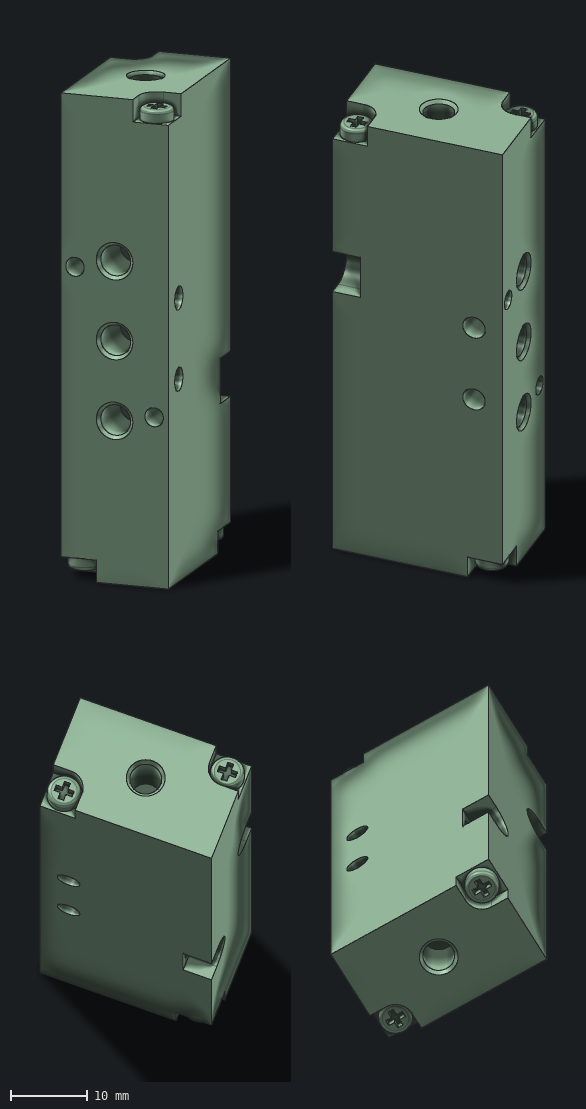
import cadquery as cq

WIDTH = 15.0
DEPTH = 24.0
HEIGHT = 66.0

PORT_DIAMETER = 4.15
PORT_CHAMFER = 0.45
PORT_DEPTH = 7.9
PORT_PITCH = 10.8

MOUNT_DIAMETER = 2.6
MOUNT_SIDE_OFFSET = 2.0
MOUNT_PITCH = 19.4
MOUNT_CENTRE_Z = -0.1
SLOT_WIDTH = 6.15
SLOT_DEPTH = 3.95

CROSS_DIAMETER = 3.2
CROSS_FRONT_OFFSET = 4.0
CROSS_PITCH = 11.0

POCKET_SIZE = 4.95
POCKET_DEPTH = 3.05
HEAD_DIAMETER = 4.5
HEAD_HEIGHT = 1.8
HEAD_FILLET = 0.5
RECESS_LENGTH = 2.5
RECESS_WIDTH = 0.8
RECESS_DEPTH = 1.3

POCKET_RADIUS = POCKET_SIZE / 2
SCREW_X = WIDTH / 2 - POCKET_RADIUS
SCREW_Y = DEPTH / 2 - POCKET_RADIUS


def half_turn(shape):
    """Turn a shape by 180 degrees about the Y axis, which carries the top end onto the bottom end."""
    return shape.rotate((0, 0, 0), (0, 1, 0), 180)


def port(x, y, z, inward):
    """Blind bore with a chamfered mouth at the given point of a face."""
    plane = cq.Plane(origin=(x, y, z), normal=inward)
    mouth_radius = PORT_DIAMETER / 2 + PORT_CHAMFER
    bore = cq.Workplane(plane).circle(PORT_DIAMETER / 2).extrude(PORT_DEPTH)
    cone = cq.Solid.makeCone(mouth_radius, PORT_DIAMETER / 2, PORT_CHAMFER, plane.origin, plane.zDir)
    return bore.union(cq.Workplane(cone))


def mounting_hole(x_side, z):
    """Through hole along Y near one X side, with its rear slot open to that side."""
    x = x_side * (WIDTH / 2 - MOUNT_SIDE_OFFSET)
    back = cq.Workplane("XZ", origin=(x, DEPTH / 2, z))
    hole = back.circle(MOUNT_DIAMETER / 2).extrude(DEPTH)
    slot_end = back.circle(SLOT_WIDTH / 2).extrude(SLOT_DEPTH)
    slot_side = back.center(x_side * SLOT_WIDTH / 2, 0).rect(SLOT_WIDTH, SLOT_WIDTH).extrude(SLOT_DEPTH)
    return hole.union(slot_end).union(slot_side)


def corner_pocket(x_side, y_side):
    """Square pocket in a top corner, rounded at its inner corner only."""
    floor = cq.Workplane("XY", origin=(x_side * SCREW_X, y_side * SCREW_Y, HEIGHT / 2 - POCKET_DEPTH))
    round_part = floor.circle(POCKET_RADIUS).extrude(POCKET_DEPTH)
    half = POCKET_RADIUS / 2
    along_x = floor.center(x_side * half, 0).rect(POCKET_RADIUS, POCKET_SIZE).extrude(POCKET_DEPTH)
    along_y = floor.center(0, y_side * half).rect(POCKET_SIZE, POCKET_RADIUS).extrude(POCKET_DEPTH)
    return round_part.union(along_x).union(along_y)


def screw_head(x_side, y_side):
    """Cross-recessed screw head standing on the floor of a top corner pocket."""
    floor = cq.Workplane("XY", origin=(x_side * SCREW_X, y_side * SCREW_Y, HEIGHT / 2 - POCKET_DEPTH))
    head = floor.circle(HEAD_DIAMETER / 2).extrude(HEAD_HEIGHT)
    head = head.faces(">Z").fillet(HEAD_FILLET)
    top = floor.workplane(offset=HEAD_HEIGHT)
    for length_x, length_y in ((RECESS_LENGTH, RECESS_WIDTH), (RECESS_WIDTH, RECESS_LENGTH)):
        head = head.cut(top.rect(length_x, length_y).extrude(-RECESS_DEPTH))
    return head


body = cq.Workplane("XY").box(WIDTH, DEPTH, HEIGHT)

for step in (-1, 0, 1):
    body = body.cut(port(0, -DEPTH / 2, step * PORT_PITCH, (0, 1, 0)))
end_port = port(0, 0, HEIGHT / 2, (0, 0, -1))
body = body.cut(end_port).cut(half_turn(end_port))

for side in (-1, 1):
    body = body.cut(mounting_hole(side, MOUNT_CENTRE_Z - side * MOUNT_PITCH / 2))
    cross_plane = cq.Workplane("YZ", origin=(0, CROSS_FRONT_OFFSET - DEPTH / 2, side * CROSS_PITCH / 2))
    body = body.cut(cross_plane.circle(CROSS_DIAMETER / 2).extrude(WIDTH / 2, both=True))

for x_side, y_side in ((-1, 1), (1, -1)):
    pocket = corner_pocket(x_side, y_side)
    head = screw_head(x_side, y_side)
    body = body.cut(pocket).cut(half_turn(pocket))
    body = body.union(head).union(half_turn(head))

result = body